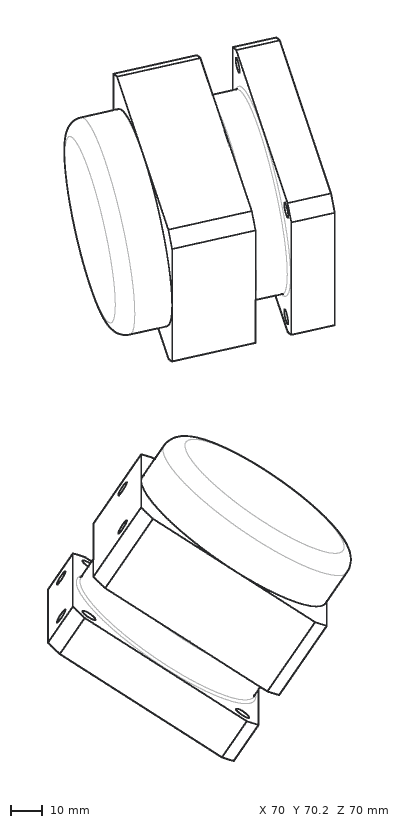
import cadquery as cq
import math

width = 70.0
length = 70.2
flange_thickness = 14.2
neck_length = 11.65
block_length = 27.2
cap_length = length - flange_thickness - neck_length - block_length

corner_flat_half = 30.55
corner_diameter = 2 * math.hypot(width / 2, corner_flat_half)
neck_diameter = 66.0
neck_fillet = 0.85
cap_fillet = 5.0

mount_hole_diameter = 4.9
mount_hole_spacing = 57.85

port_diameter = 4.9
port_depth = 7.0
port_tip_angle = 118.0
port_spacing = 43.8
flange_port_inset = 7.5
block_port_inset = 16.6

flange_rear = length / 2
flange_front = flange_rear - flange_thickness
block_rear = flange_front - neck_length
block_front = block_rear - block_length


def cylinder(diameter, rear_y, depth):
    """Round body on the part's axis, extending from rear_y toward -Y."""
    return cq.Workplane("XZ", origin=(0, rear_y, 0)).circle(diameter / 2).extrude(depth)


def square_body(rear_y, depth):
    """Square body whose corners are turned to a common diameter."""
    square = cq.Workplane("XZ", origin=(0, rear_y, 0)).rect(width, width).extrude(depth)
    return square.intersect(cylinder(corner_diameter, rear_y, depth))


def neck():
    """Round neck flaring out with a concave fillet at both ends."""
    radius = neck_diameter / 2
    flare_radius = radius + neck_fillet
    arc_offset = neck_fillet * (1 - math.sqrt(0.5))
    return (
        cq.Workplane("XY")
        .moveTo(0, block_rear)
        .lineTo(flare_radius, block_rear)
        .threePointArc(
            (radius + arc_offset, block_rear + arc_offset),
            (radius, block_rear + neck_fillet),
        )
        .lineTo(radius, flange_front - neck_fillet)
        .threePointArc(
            (radius + arc_offset, flange_front - arc_offset),
            (flare_radius, flange_front),
        )
        .lineTo(0, flange_front)
        .close()
        .revolve(360, (0, 0, 0), (0, 1, 0))
    )


def side_port(y, z):
    """Blind drilled hole with a conical bottom, entering from the -X side."""
    radius = port_diameter / 2
    tip_length = radius / math.tan(math.radians(port_tip_angle / 2))
    entry_x = -width / 2
    return (
        cq.Workplane("XY", origin=(entry_x, y, z))
        .polyline([(0, 0), (0, radius), (port_depth, radius), (port_depth + tip_length, 0)])
        .close()
        .revolve(360, (0, 0, 0), (1, 0, 0))
    )


mount_holes = (
    cq.Workplane("XZ", origin=(0, flange_rear, 0))
    .rect(mount_hole_spacing, mount_hole_spacing, forConstruction=True)
    .vertices()
    .circle(mount_hole_diameter / 2)
    .extrude(flange_thickness)
)
flange = square_body(flange_rear, flange_thickness).cut(mount_holes)

block = square_body(block_rear, block_length)
cap = cylinder(width, block_front, cap_length).faces("<Y").edges().fillet(cap_fillet)

result = flange.union(neck()).union(block).union(cap)

for port_y in (flange_rear - flange_port_inset, block_rear - block_port_inset):
    for port_z in (-port_spacing / 2, port_spacing / 2):
        result = result.cut(side_port(port_y, port_z))